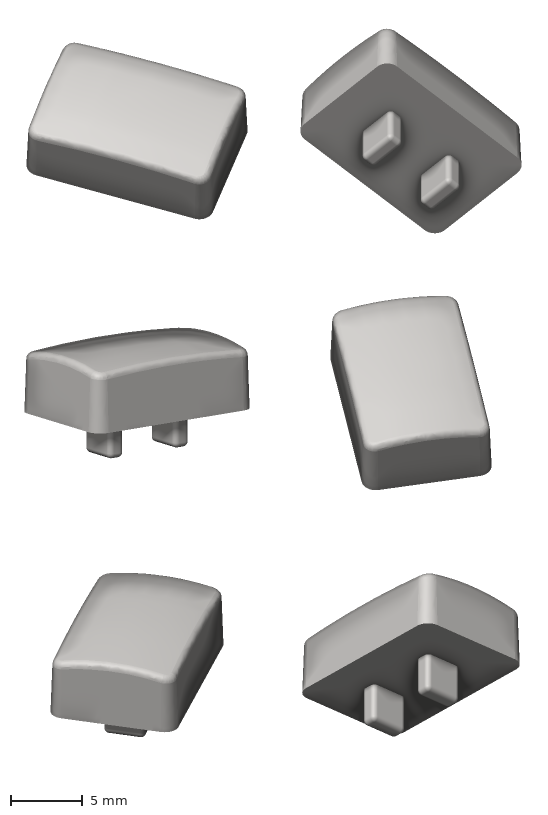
import cadquery as cq

CAP_LENGTH = 13.73
CAP_WIDTH = 9.23
CAP_CREST = 5.0
CORNER_RADIUS = 1.0
WALL_DRAFT = 2.0
RIM_FILLET = 0.5

CROWN_RADIUS_X = 70.0
CROWN_RADIUS_Y = 18.0

LEG_THICKNESS = 1.25
LEG_WIDTH = 3.0
LEG_LENGTH = 2.83
LEG_SPACING = 5.68
LEG_FILLET = 0.36


def tapered_block():
    """Drafted block with rounded corners, tall enough to be cut by the crown."""
    outline = cq.Sketch().rect(CAP_LENGTH, CAP_WIDTH).vertices().fillet(CORNER_RADIUS)
    block_height = CAP_CREST + RIM_FILLET
    return cq.Workplane("XY").placeSketch(outline).extrude(block_height, taper=WALL_DRAFT)


def crown_barrel():
    """Barrel lying along Y whose uppermost skin is the crown surface."""
    half_width = CAP_WIDTH / 2
    sag = CROWN_RADIUS_Y - (CROWN_RADIUS_Y**2 - half_width**2) ** 0.5
    axis_height = CAP_CREST - CROWN_RADIUS_X
    edge_height = CAP_CREST - sag
    return (
        cq.Workplane("YZ")
        .moveTo(-half_width, axis_height)
        .lineTo(-half_width, edge_height)
        .threePointArc((0, CAP_CREST), (half_width, edge_height))
        .lineTo(half_width, axis_height)
        .close()
        .revolve(360, (-half_width, axis_height), (half_width, axis_height))
    )


def make_cap():
    cap = tapered_block().intersect(crown_barrel())
    return cap.faces(">Z").edges().fillet(RIM_FILLET)


def make_leg(x_center):
    """Leg with rounded upright edges and a rounded tip, hanging from the cap's underside."""
    return (
        cq.Workplane("XY")
        .center(x_center, 0)
        .rect(LEG_THICKNESS, LEG_WIDTH)
        .extrude(-LEG_LENGTH)
        .edges("|Z")
        .fillet(LEG_FILLET)
        .faces("<Z")
        .edges()
        .fillet(LEG_FILLET)
    )


result = make_cap()
for side in (-1, 1):
    result = result.union(make_leg(side * LEG_SPACING / 2))